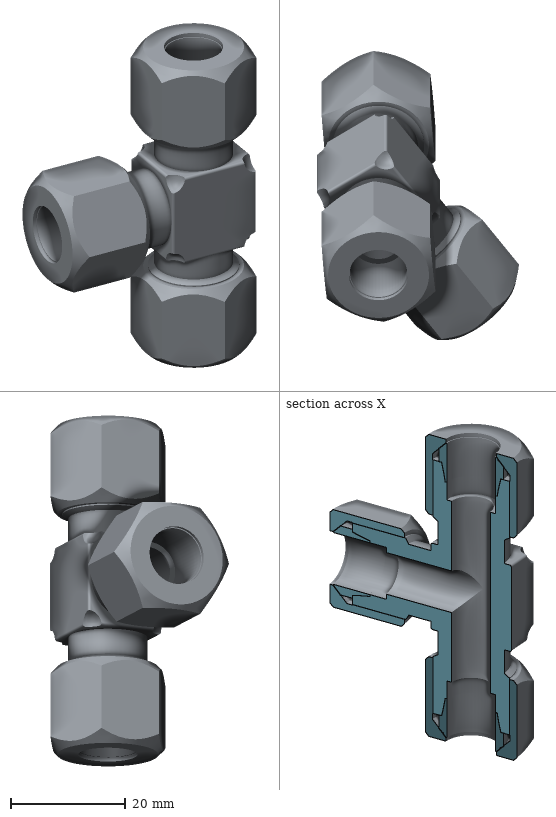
import cadquery as cq
import math


arm_reach = 29.5
tube_radius = 5.0
bore_radius = 4.0

block_width = 15.0
block_side = 16.95
block_fillet = 0.5
corner_scoop_radius = 2.5

neck_radius = 6.95
thread_radius = 8.0
neck_end = 13.0
thread_start = 13.6
body_end = 24.8
socket_depth = 7.1

taper_angle = 12.0
taper_mouth_radius = 6.15
taper_tip_radius = 5.35
taper_length = (taper_mouth_radius - taper_tip_radius) / math.tan(math.radians(taper_angle))
taper_start = body_end - taper_length

nut_flats = 19.1
nut_corners = nut_flats / math.cos(math.radians(30))
nut_length = 15.65
nut_start = arm_reach - nut_length
nut_face_radius = 8.85
nut_chamfer = nut_corners / 2 - nut_face_radius
nut_hole_radius = tube_radius + 0.2
nut_hole_depth = 0.75

ring_end = arm_reach - nut_hole_depth
ring_collar_radius = 6.8
collar_top = ring_end - (ring_collar_radius - nut_hole_radius)
nut_cone_start = ring_end - (thread_radius - nut_hole_radius)

arm_turns = [0, 180, 90]


def revolve_about_z(points):
    """Revolve a closed outline of (radius, height) points about the Z axis."""
    return cq.Workplane("XZ").polyline(points).close().revolve(360, (0, 0), (0, 1))


def turn_arm(shape, angle):
    return shape.rotate((0, 0, 0), (1, 0, 0), angle)


def make_block():
    """Rounded block with a spherical scoop at each corner."""
    block = cq.Workplane("XY").box(block_width, block_side, block_side)
    corners = block.vertices().vals()
    block = block.edges().fillet(block_fillet)
    for corner in corners:
        scoop_plane = cq.Plane(origin=corner.toTuple(), normal=corner.toTuple())
        block = block.cut(cq.Workplane(scoop_plane).sphere(corner_scoop_radius))
    return block


def make_arm():
    """Solid neck and thread of one arm."""
    return revolve_about_z([
        (0, 0),
        (neck_radius, 0),
        (neck_radius, neck_end),
        (thread_radius, thread_start),
        (thread_radius, body_end),
        (0, body_end),
    ])


def make_arm_bore():
    """Passage, tube socket and ring taper of one arm."""
    socket_floor = body_end - socket_depth
    return revolve_about_z([
        (0, 0),
        (bore_radius, 0),
        (bore_radius, socket_floor),
        (tube_radius, socket_floor),
        (tube_radius, taper_start),
        (taper_tip_radius, taper_start),
        (taper_mouth_radius, body_end),
        (0, body_end),
    ])


def make_body():
    body = make_block()
    for angle in arm_turns:
        body = body.union(turn_arm(make_arm(), angle))
    for angle in arm_turns:
        body = body.cut(turn_arm(make_arm_bore(), angle))
    return body


def make_nut():
    """Hexagon nut with corners on +X and -X and both ends turned to 45 degrees."""
    hexagon = (
        cq.Workplane("XY")
        .workplane(offset=nut_start)
        .polygon(6, nut_corners)
        .extrude(nut_length)
    )
    turned_blank = (
        cq.Workplane("XY")
        .workplane(offset=nut_start)
        .circle(nut_corners / 2)
        .extrude(nut_length)
        .edges()
        .chamfer(nut_chamfer)
    )
    hole = revolve_about_z([
        (0, nut_start),
        (thread_radius, nut_start),
        (thread_radius, nut_cone_start),
        (nut_hole_radius, ring_end),
        (nut_hole_radius, arm_reach),
        (0, arm_reach),
    ])
    return hexagon.intersect(turned_blank).cut(hole)


def make_cutting_ring():
    return revolve_about_z([
        (tube_radius, taper_start),
        (taper_tip_radius, taper_start),
        (taper_mouth_radius, body_end),
        (ring_collar_radius, body_end),
        (ring_collar_radius, collar_top),
        (nut_hole_radius, ring_end),
        (tube_radius, ring_end),
    ])


body = make_body()
nuts = [turn_arm(make_nut(), angle) for angle in arm_turns]
cutting_rings = [turn_arm(make_cutting_ring(), angle) for angle in arm_turns]

result = cq.Compound.makeCompound([
    body.solids().val(),
    *[nut.val() for nut in nuts],
    *[ring.val() for ring in cutting_rings],
])